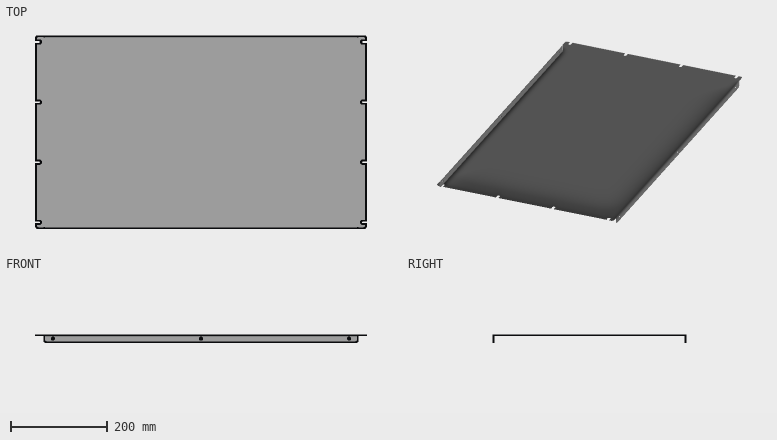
import cadquery as cq

panel_length = 686.5
panel_width = 399.6
panel_height = 15.0
sheet_thickness = 0.8
panel_corner_radius = 5.0

bend_inner_radius = 0.8
bend_outer_radius = bend_inner_radius + sheet_thickness

flange_length = 652.5
flange_corner_radius = 5.0

slot_width = 6.5
slot_depth = 10.5
slot_offsets = (62.5, 187.5)

hole_diameter = 4.2
hole_spacing = 308.0
hole_drop = panel_height / 2

half_length = panel_length / 2
half_width = panel_width / 2


def make_plate():
    """Flat plate with rounded corners; its top face lies at Z = 0."""
    return (
        cq.Workplane("XY")
        .workplane(offset=-sheet_thickness)
        .rect(panel_length, panel_width)
        .extrude(sheet_thickness)
        .edges("|Z")
        .fillet(panel_corner_radius)
    )


def make_rounded_block(width, height, top_radius):
    """Block standing on the flange tips, with its two upper long edges rounded."""
    return (
        cq.Workplane("XY")
        .workplane(offset=-panel_height)
        .rect(flange_length, width)
        .extrude(height)
        .edges("|X and >Z")
        .fillet(top_radius)
    )


def make_channel():
    """Plate middle and both flanges as one bent sheet with rounded lower flange corners."""
    outer = make_rounded_block(panel_width, panel_height, bend_outer_radius)
    inner = make_rounded_block(
        panel_width - 2 * sheet_thickness,
        panel_height - sheet_thickness,
        bend_inner_radius,
    )
    return outer.cut(inner).edges("|Y and <Z").fillet(flange_corner_radius)


def make_edge_strips():
    """Square plate edges above the flanges, cut away to make room for the rounded bends."""
    return (
        cq.Workplane("XY")
        .workplane(offset=-sheet_thickness)
        .pushPoints([(0, side * half_width) for side in (-1, 1)])
        .rect(flange_length, 2 * bend_outer_radius)
        .extrude(sheet_thickness)
    )


def make_slots():
    """Round-ended slots cut inward from both short edges."""
    centres = [
        (end * half_length, side * offset)
        for end in (-1, 1)
        for side in (-1, 1)
        for offset in slot_offsets
    ]
    return (
        cq.Workplane("XY")
        .workplane(offset=-sheet_thickness)
        .pushPoints(centres)
        .slot2D(2 * slot_depth, slot_width)
        .extrude(sheet_thickness)
    )


def make_flange_holes():
    """Three screw holes that pass through both flanges."""
    return (
        cq.Workplane("XZ")
        .pushPoints([(step * hole_spacing, -hole_drop) for step in (-1, 0, 1)])
        .circle(hole_diameter / 2)
        .extrude(half_width, both=True)
    )


plate = make_plate().cut(make_edge_strips()).cut(make_slots())
result = plate.union(make_channel()).cut(make_flange_holes())